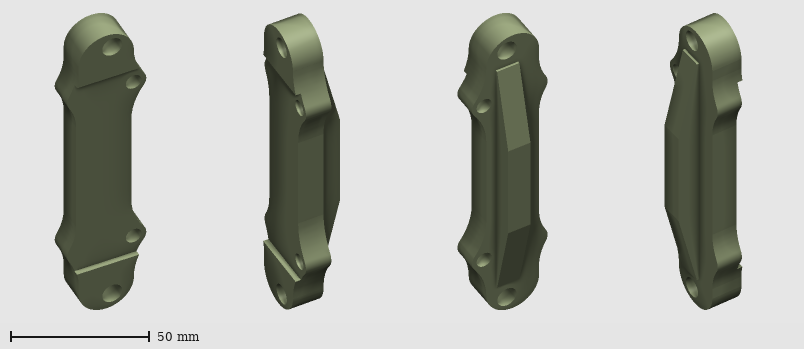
import cadquery as cq
import math

length = 133.0
end_radius = 11.0
plate_thickness = 12.5
middle_thickness = 10.4
end_pad_z = 45.5

ear_z = 37.5
hole_side_reach = 17.0
hole_side_tip_radius = 5.0
hole_side_fillet = 24.7
plain_side_reach = 14.6
plain_side_tip_radius = 5.52
plain_side_fillet = 20.7

end_hole_diameter = 8.0
ear_hole_diameter = 6.3
end_hole_z = 60.1
ear_hole_y = hole_side_reach - hole_side_tip_radius

rib_y = 2.4
rib_width = 9.3
rib_height = 8.8
rib_end_height = 0.9
rib_half_length = 52.7
rib_crest_half_length = 20.0

half_length = length / 2
end_center_z = half_length - end_radius


def add_ear(outline, side, center_z, direction, reach, tip_radius, fillet):
    """Draw three tangent arcs around an ear, travelling along Z in the given direction."""
    arc_span = tip_radius + fillet
    angle = math.acos(1 - (reach - end_radius) / arc_span)
    tip_y = reach - tip_radius
    fillet_y = end_radius + fillet
    fillet_offset = arc_span * math.sin(angle)
    tip_offset = tip_radius * math.sin(angle)
    join_y = tip_y + tip_radius * math.cos(angle)
    mid_y = fillet_y - fillet * math.cos(angle / 2)
    mid_offset = fillet_offset - fillet * math.sin(angle / 2)

    def point(y, offset):
        return (side * y, center_z + direction * offset)

    return (
        outline.lineTo(*point(end_radius, -fillet_offset))
        .threePointArc(point(mid_y, -mid_offset), point(join_y, -tip_offset))
        .threePointArc(point(reach, 0), point(join_y, tip_offset))
        .threePointArc(point(mid_y, mid_offset), point(end_radius, fillet_offset))
    )


def make_plate():
    hole_side = (hole_side_reach, hole_side_tip_radius, hole_side_fillet)
    plain_side = (plain_side_reach, plain_side_tip_radius, plain_side_fillet)
    outline = cq.Workplane("YZ").moveTo(end_radius, 0)
    outline = add_ear(outline, 1, ear_z, 1, *hole_side)
    outline = outline.lineTo(end_radius, end_center_z)
    outline = outline.threePointArc((0, half_length), (-end_radius, end_center_z))
    outline = add_ear(outline, -1, ear_z, -1, *plain_side)
    outline = add_ear(outline, -1, -ear_z, -1, *plain_side)
    outline = outline.lineTo(-end_radius, -end_center_z)
    outline = outline.threePointArc((0, -half_length), (end_radius, -end_center_z))
    outline = add_ear(outline, 1, -ear_z, 1, *hole_side)
    return outline.close().extrude(plate_thickness)


def make_middle_recess():
    """Block that thins the +X face between the two end pads."""
    return cq.Workplane("XY").box(
        plate_thickness - middle_thickness,
        2 * hole_side_reach,
        2 * end_pad_z,
        centered=(False, True, True),
    ).translate((middle_thickness, 0, 0))


def make_holes(diameter, y, z):
    """Pair of through-hole cutters at heights +z and -z."""
    return (
        cq.Workplane("YZ")
        .pushPoints([(y, z), (y, -z)])
        .circle(diameter / 2)
        .extrude(plate_thickness)
    )


def make_rib():
    profile = [
        (0, -rib_half_length),
        (-rib_end_height, -rib_half_length),
        (-rib_height, -rib_crest_half_length),
        (-rib_height, rib_crest_half_length),
        (-rib_end_height, rib_half_length),
        (0, rib_half_length),
    ]
    rib = cq.Workplane("XZ").polyline(profile).close().extrude(rib_width / 2, both=True)
    return rib.translate((0, rib_y, 0))


result = (
    make_plate()
    .cut(make_middle_recess())
    .cut(make_holes(end_hole_diameter, rib_y, end_hole_z))
    .cut(make_holes(ear_hole_diameter, ear_hole_y, ear_z))
    .union(make_rib())
)